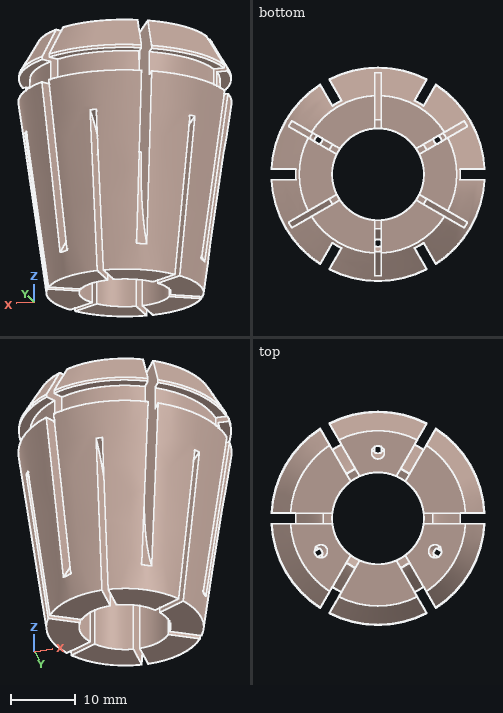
import cadquery as cq
import math

length = 40.0
max_diameter = 33.0
max_radius = max_diameter / 2
taper_angle = 8.0
taper_top_z = 30.9
groove_radius = 14.7
lip_bottom_z = 34.55
lip_top_z = 35.05
lip_radius = 16.4
nose_angle = 30.0
bore_radius = 7.1

cuts_per_end = 6
cut_spacing = 360.0 / cuts_per_end

nose_cut_width = 1.6
nose_blade_radius = 24.4
nose_blade_z = 18.0
nose_blade_depth_radius = 8.3
nose_floor_z = 20.25
nose_floor_angle = 20.0

tail_cut_width = 1.0
tail_blade_radius = 20.0
tail_blade_z = 8.25
tail_blade_offset = 26.6
tail_roof_z = 16.5
first_tail_cut_angle = cut_spacing / 2

hole_count = 3
hole_diameter = 2.0
hole_center_radius = 10.15
hole_lean = 2.5
hole_depth = 21.2
first_hole_angle = 90.0


def slope_run(height, angle):
    """Sideways distance covered over a height by a wall leaning off vertical."""
    return height * math.tan(math.radians(angle))


def make_body():
    tail_radius = max_radius - slope_run(taper_top_z, taper_angle)
    nose_radius = lip_radius - slope_run(length - lip_top_z, nose_angle)
    half_section = (
        cq.Workplane("XZ")
        .moveTo(bore_radius, 0)
        .lineTo(tail_radius, 0)
        .lineTo(max_radius, taper_top_z)
        .lineTo(groove_radius, taper_top_z)
        .lineTo(groove_radius, lip_bottom_z)
        .lineTo(lip_radius, lip_bottom_z)
        .lineTo(lip_radius, lip_top_z)
        .lineTo(nose_radius, length)
        .lineTo(bore_radius, length)
        .close()
    )
    return half_section.revolve(360, (0, 0, 0), (0, 1, 0))


def make_blade(radius, offset, height, width):
    """Saw blade lying in the XZ plane, centred at the given offset from the axis."""
    return (
        cq.Workplane("XZ")
        .center(offset, height)
        .circle(radius)
        .extrude(width / 2, both=True)
    )


def make_nose_cut():
    """Lower edge is the blade's arc; everything above the floor is open to the nose."""
    blade_offset = nose_blade_depth_radius + nose_blade_radius
    ridge_height = nose_floor_z - nose_blade_z
    ridge_radius = blade_offset - math.sqrt(nose_blade_radius**2 - ridge_height**2)
    axis_floor_z = nose_floor_z - ridge_radius * math.tan(math.radians(nose_floor_angle))
    open_part = (
        cq.Workplane("XZ")
        .moveTo(0, axis_floor_z)
        .lineTo(ridge_radius, nose_floor_z)
        .lineTo(blade_offset, nose_floor_z)
        .lineTo(blade_offset, length)
        .lineTo(0, length)
        .close()
        .extrude(nose_cut_width / 2, both=True)
    )
    return open_part.union(make_blade(nose_blade_radius, blade_offset, nose_blade_z, nose_cut_width))


def make_tail_cut():
    """Upper edge is the blade's arc; everything below the roof is open to the tail."""
    open_part = cq.Workplane("XY").box(
        tail_blade_offset, tail_cut_width, tail_roof_z, centered=(False, True, False)
    )
    blade = make_blade(tail_blade_radius, tail_blade_offset, tail_blade_z, tail_cut_width)
    return open_part.union(blade)


def make_coolant_hole():
    """Leaning hole in the XZ plane; it starts above the nose face so that it opens cleanly."""
    lead_in = hole_diameter
    lean = math.radians(hole_lean)
    down = cq.Vector(math.sin(lean), 0, -math.cos(lean))
    start = cq.Vector(hole_center_radius, 0, length) - down * lead_in
    return cq.Workplane(cq.Solid.makeCylinder(hole_diameter / 2, hole_depth + lead_in, start, down))


def cut_around(part, tool, count, first_angle):
    """Cut the part with copies of a tool spread evenly around the axis."""
    for i in range(count):
        angle = first_angle + i * 360.0 / count
        part = part.cut(tool.rotate((0, 0, 0), (0, 0, 1), angle))
    return part


collet = make_body()
collet = cut_around(collet, make_nose_cut(), cuts_per_end, 0)
collet = cut_around(collet, make_tail_cut(), cuts_per_end, first_tail_cut_angle)
collet = cut_around(collet, make_coolant_hole(), hole_count, first_hole_angle)

result = collet